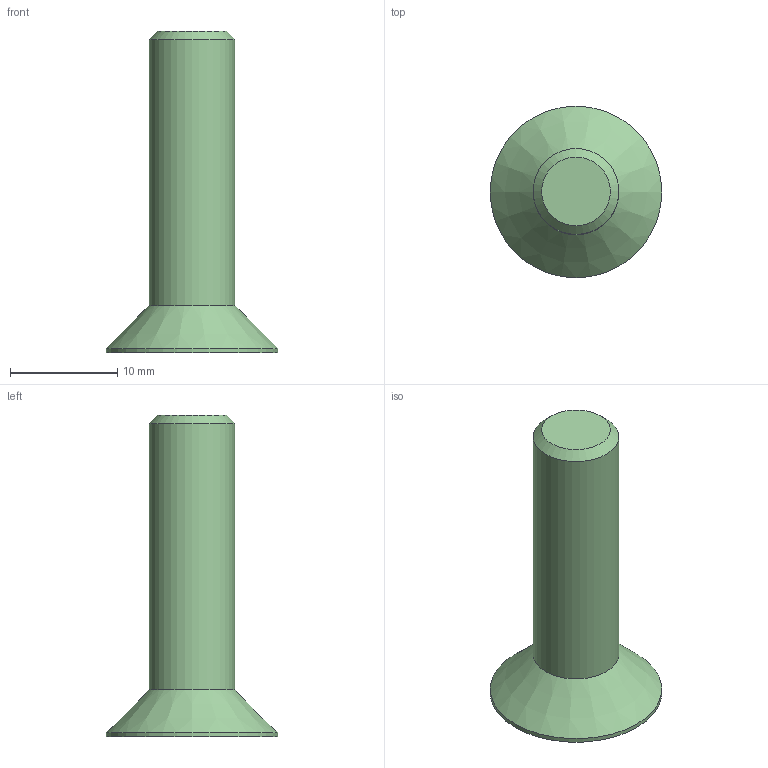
import cadquery as cq

total_length = 30.0
shank_diameter = 8.0
head_diameter = 16.0
head_rim_height = 0.4
tip_chamfer = 0.8

shank_radius = shank_diameter / 2
head_radius = head_diameter / 2
cone_height = head_radius - shank_radius


def make_screw():
    """Revolve the half profile of head and shank about the Z axis."""
    cone_top = head_rim_height + cone_height
    profile = (
        cq.Workplane("XZ")
        .lineTo(head_radius, 0)
        .lineTo(head_radius, head_rim_height)
        .lineTo(shank_radius, cone_top)
        .lineTo(shank_radius, total_length)
        .lineTo(0, total_length)
        .close()
    )
    return profile.revolve(360, (0, 0, 0), (0, 1, 0))


def chamfer_tip(screw):
    """Break the edge at the free end of the shank."""
    return screw.faces(">Z").edges().chamfer(tip_chamfer)


result = chamfer_tip(make_screw())